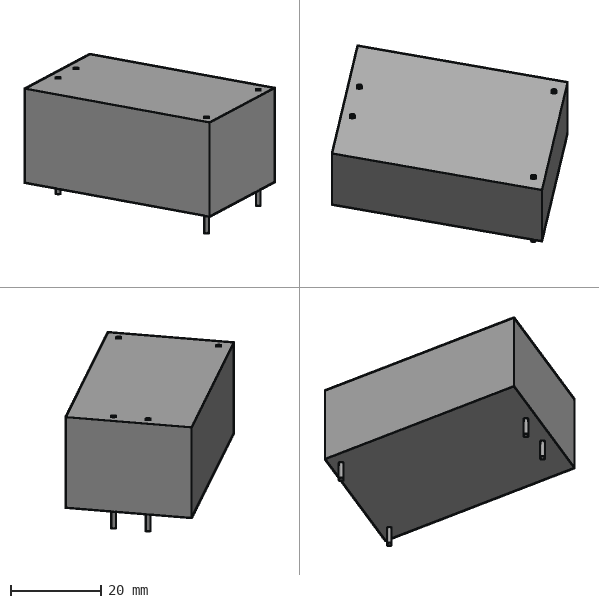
import cadquery as cq

case_length = 47.5
case_width = 28.5
total_height = 27.0
pin_length = 5.0
case_height = total_height - pin_length
pin_diameter = 1.1

pin_row_x = 21.25
input_pin_spacing = 7.8
output_pin_spacing = 22.6

hole_diameter = pin_diameter
hole_depth = 1.0

pin_positions = []
for row_x, spacing in ((-pin_row_x, input_pin_spacing), (pin_row_x, output_pin_spacing)):
    for side in (-1, 1):
        pin_positions.append((row_x, side * spacing / 2))


def make_case():
    """Plain box with its underside at Z = 0."""
    return cq.Workplane("XY").box(case_length, case_width, case_height, centered=(True, True, False))


def make_pins():
    """Straight pins hanging from the underside."""
    return cq.Workplane("XY").pushPoints(pin_positions).circle(pin_diameter / 2).extrude(-pin_length)


def make_top_holes():
    """Cutters for the blind holes in the top face."""
    return (
        cq.Workplane("XY")
        .workplane(offset=case_height - hole_depth)
        .pushPoints(pin_positions)
        .circle(hole_diameter / 2)
        .extrude(hole_depth)
    )


result = make_case().union(make_pins()).cut(make_top_holes())